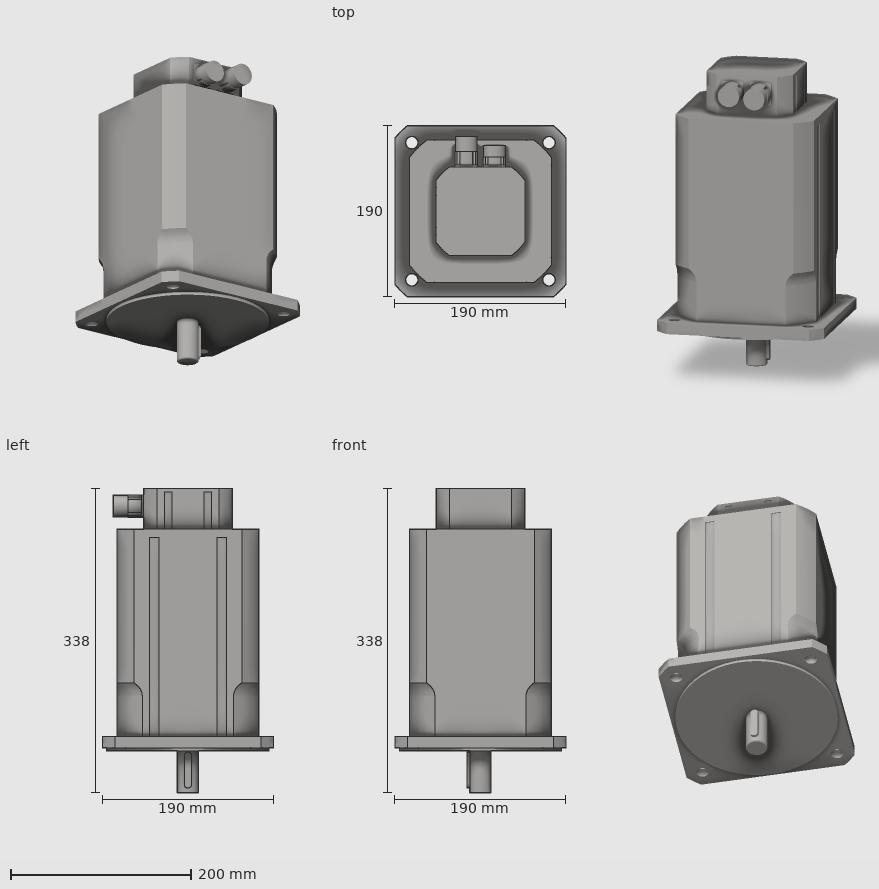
import cadquery as cq
import math

overall_height = 338.0
pilot_bottom = 47.0
pilot_height = 3.5
flange_bottom = pilot_bottom + pilot_height
flange_height = 12.5
flange_top = flange_bottom + flange_height
cap_height = 45.3
housing_top = overall_height - cap_height

flange_width = 190.0
flange_corner_diameter = 249.8
housing_width = 157.5
housing_corner_diameter = 197.7
cap_width = 98.5
cap_corner_diameter = 120.0

pilot_diameter = 180.0
bolt_hole_diameter = 13.5
bolt_hole_spacing = 152.0

relief_diameter = 187.3
relief_straight_top = 108.0
relief_top = 122.5

groove_depth = 1.0
housing_groove_width = 10.5
housing_groove_offset = 37.5
housing_groove_margin = 9.0
housing_groove_top = housing_top - housing_groove_margin
cap_groove_width = 8.5
cap_groove_offset = 22.0
cap_groove_margin = 4.0
cap_groove_top = overall_height - cap_groove_margin

shaft_diameter = 24.0
shaft_chamfer = 1.0
key_width = 8.0
key_length = 40.0
key_bottom = 5.7
key_projection = 3.0

connector_size = 25.0
barrel_diameter = 24.0
connector_height = 318.5
connector_offset = 15.5
base_thickness = 2.5
base_corner_radius = 2.5
flute_radius = 2.0
flute_count = 4
first_flute_angle = 45
long_collar_end = 17.2
long_barrel_end = 33.8
short_collar_end = 11.0
short_barrel_end = 23.5


def turned_square(width, corner_diameter, bottom, top):
    """Square prism on the motor axis with its corners turned to a circle."""
    square = cq.Workplane("XY").workplane(offset=bottom).rect(width, width).extrude(top - bottom)
    envelope = cq.Workplane("XY").workplane(offset=bottom).circle(corner_diameter / 2).extrude(top - bottom)
    return square.intersect(envelope)


def corner_relief():
    """Ring of material turned off the lower housing corners, rounded at its upper end."""
    relief_radius = relief_diameter / 2
    corner_radius = housing_corner_diameter / 2
    rise = relief_top - relief_straight_top
    step = corner_radius - relief_radius
    runout_radius = (step**2 + rise**2) / (2 * step)
    half_angle = math.asin(rise / runout_radius) / 2
    arc_middle = (
        relief_radius + runout_radius * (1 - math.cos(half_angle)),
        relief_straight_top + runout_radius * math.sin(half_angle),
    )
    outer_radius = housing_width
    return (
        cq.Workplane("XZ")
        .moveTo(relief_radius, flange_top)
        .lineTo(relief_radius, relief_straight_top)
        .threePointArc(arc_middle, (corner_radius, relief_top))
        .lineTo(outer_radius, relief_top)
        .lineTo(outer_radius, flange_top)
        .close()
        .revolve(360, (0, 0, 0), (0, 1, 0))
    )


def side_grooves(face_x, width, offset, bottom, top):
    """Pair of vertical grooves cut into a face that looks along -X."""
    return (
        cq.Workplane("YZ")
        .workplane(offset=face_x)
        .pushPoints([(side * offset, (bottom + top) / 2) for side in (-1, 1)])
        .rect(width, top - bottom)
        .extrude(groove_depth)
    )


def make_flange():
    plate = turned_square(flange_width, flange_corner_diameter, flange_bottom, flange_top)
    pilot = cq.Workplane("XY").workplane(offset=pilot_bottom).circle(pilot_diameter / 2).extrude(pilot_height)
    bolt_holes = (
        cq.Workplane("XY")
        .workplane(offset=pilot_bottom)
        .rect(bolt_hole_spacing, bolt_hole_spacing, forConstruction=True)
        .vertices()
        .circle(bolt_hole_diameter / 2)
        .extrude(flange_top - pilot_bottom)
    )
    return plate.union(pilot).cut(bolt_holes)


def make_housing():
    block = turned_square(housing_width, housing_corner_diameter, flange_top, housing_top)
    grooves = side_grooves(
        -housing_width / 2, housing_groove_width, housing_groove_offset, flange_top, housing_groove_top
    )
    return block.cut(corner_relief()).cut(grooves)


def make_cap():
    block = turned_square(cap_width, cap_corner_diameter, housing_top, overall_height)
    grooves = side_grooves(-cap_width / 2, cap_groove_width, cap_groove_offset, housing_top, cap_groove_top)
    return block.cut(grooves)


def make_keyed_shaft():
    shaft = (
        cq.Workplane("XY").circle(shaft_diameter / 2).extrude(pilot_bottom).faces("<Z").chamfer(shaft_chamfer)
    )
    key = (
        cq.Workplane("YZ")
        .center(0, key_bottom + key_length / 2)
        .slot2D(key_length, key_width, 90)
        .extrude(-(shaft_diameter / 2 + key_projection))
    )
    return shaft.union(key)


def make_motor():
    return make_flange().union(make_housing()).union(make_cap()).union(make_keyed_shaft())


def make_connector(x, collar_end, barrel_end):
    """Connector standing on the cap; both ends are distances from the cap face."""
    face = cq.Workplane("XZ", origin=(x, cap_width / 2, connector_height))
    base = (
        face.rect(connector_size, connector_size)
        .extrude(-base_thickness)
        .edges("|Y")
        .fillet(base_corner_radius)
    )
    collar = face.circle(connector_size / 2).extrude(-collar_end)
    flutes = (
        face.workplane(offset=-base_thickness)
        .polarArray(connector_size / 2, first_flute_angle, 360, flute_count)
        .circle(flute_radius)
        .extrude(base_thickness - collar_end)
    )
    barrel = face.workplane(offset=-collar_end).circle(barrel_diameter / 2).extrude(collar_end - barrel_end)
    return collar.cut(flutes).union(base).union(barrel)


motor = make_motor()
connectors = [
    make_connector(x, collar_end, barrel_end)
    for x, collar_end, barrel_end in (
        (-connector_offset, long_collar_end, long_barrel_end),
        (connector_offset, short_collar_end, short_barrel_end),
    )
]

result = cq.Compound.makeCompound([motor.val(), *[connector.val() for connector in connectors]])